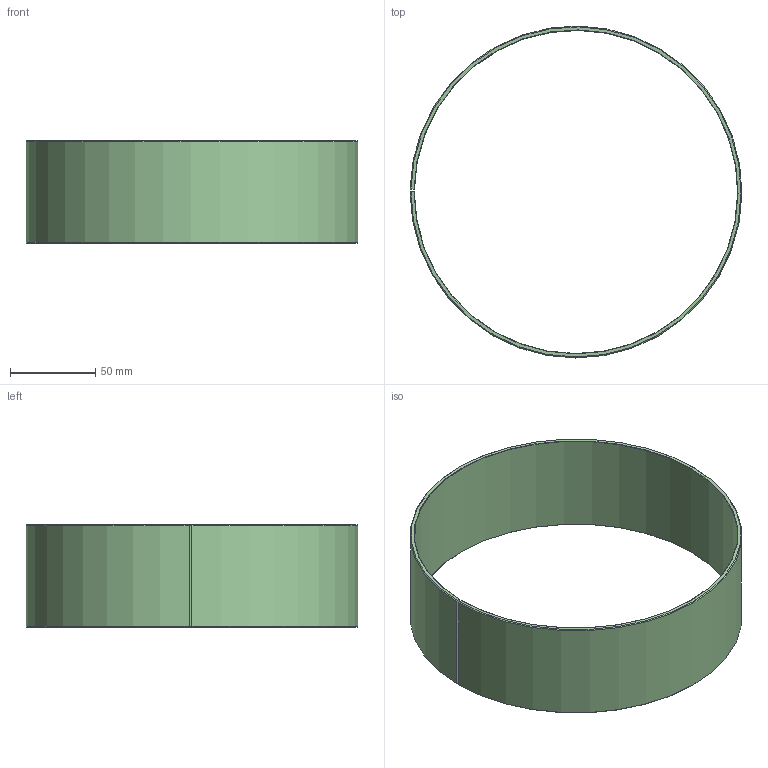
import cadquery as cq

outer_diameter = 195.0
wall_thickness = 2.5
height = 60.0
outer_chamfer = 0.5
inner_chamfer = 0.2

split_angle = 1.0
sweep_angle = 360.0 - split_angle

outer_radius = outer_diameter / 2
inner_radius = outer_radius - wall_thickness


def wall_section():
    """Radial section of the wall on the -X side, with all four corners chamfered."""
    outer_x = -outer_radius
    inner_x = -inner_radius
    return (
        cq.Workplane("XZ")
        .moveTo(outer_x + outer_chamfer, 0)
        .lineTo(outer_x, outer_chamfer)
        .lineTo(outer_x, height - outer_chamfer)
        .lineTo(outer_x + outer_chamfer, height)
        .lineTo(inner_x - inner_chamfer, height)
        .lineTo(inner_x, height - inner_chamfer)
        .lineTo(inner_x, inner_chamfer)
        .lineTo(inner_x - inner_chamfer, 0)
        .close()
    )


axis_start = (0, 0, 0)
axis_end = (0, 1, 0)
result = wall_section().revolve(sweep_angle, axis_start, axis_end)